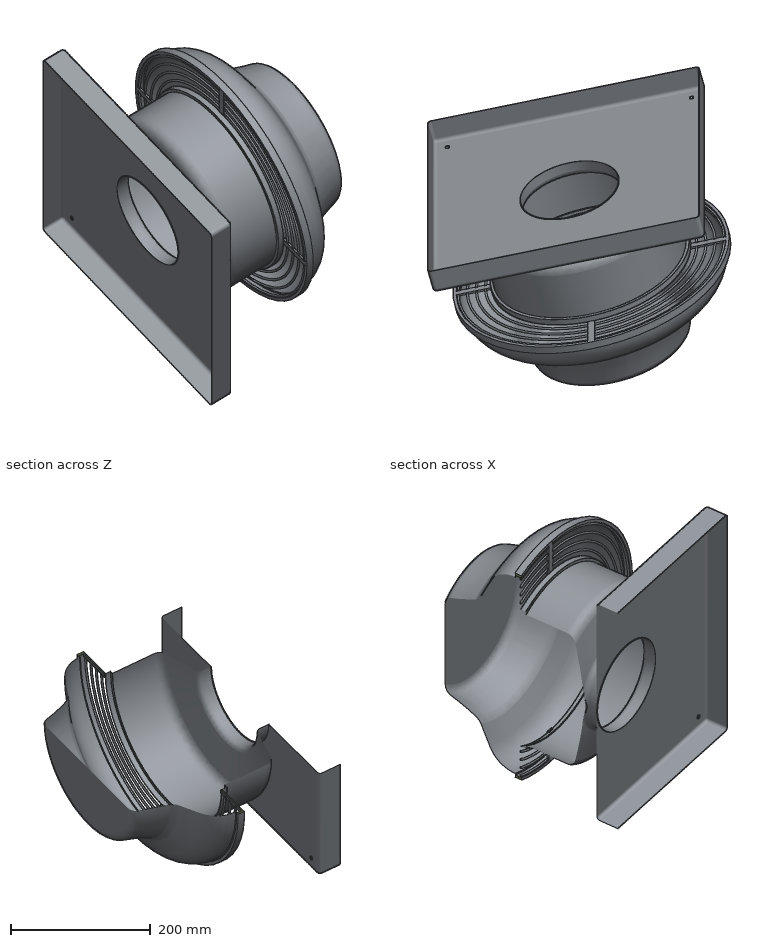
import cadquery as cq
import math


TRAY_SIDE = 400.5
TRAY_DEPTH = 37.0
SHEET = 1.0
BEND_RADIUS = 6.0
SCREW_OFFSET = 180.0
SCREW_DIAMETER = 6.0

NECK_RADIUS = 73.3
DRUM_RADIUS = 142.5
CONE_START = 58.0
CONE_END = 75.5
DRUM_END = 160.0
NECK_BLEND = 8.0
DRUM_BLEND = 15.5

COLLAR_RADIUS = 147.5
GRILLE_START = 168.5
FLANGE_RADIUS = 203.5
FLANGE_BORE = 198.5
FLANGE_END = 180.0
WIRE_DIAMETER = 3.0
WIRE_COUNT = 4
WIRE_FIRST_RADIUS = 156.0
WIRE_PITCH = 13.5
SPOKE_COUNT = 4
SPOKE_WIDTH = 10.0
SPOKE_THICKNESS = WIRE_DIAMETER

HOOD_RADIUS = 197.0
HOOD_END = 303.0
SHOULDER_ARC_RADIUS = 50.0
SHOULDER_SWEEP = 63.0
WAIST_RADIUS = 134.5
CROWN_MID_POINT = (123.5, 270.0)
CROWN_RADIUS = 114.8
WAIST_BLEND = 17.0
CROWN_BLEND = 14.0


def turned(profile):
    """Revolve a closed half profile, drawn as (radius, Y), about the Y axis."""
    return profile.close().revolve(360, (0, 0), (0, 1))


def ring(outer_radius, inner_radius, start, end):
    """Plain ring around the Y axis."""
    return turned(
        cq.Workplane("XY")
        .moveTo(inner_radius, start)
        .lineTo(outer_radius, start)
        .lineTo(outer_radius, end)
        .lineTo(inner_radius, end)
    )


def circle_at(solid, position):
    """The circular edge centred on the axis at Y = position, for blending."""
    return solid.edges(cq.selectors.NearestToPointSelector((0, position, 0)))


def make_tray():
    """Square sheet tray, open to -Y, with rounded bends, neck hole and screw holes."""
    tray = (
        cq.Workplane("XZ")
        .rect(TRAY_SIDE, TRAY_SIDE)
        .extrude(-TRAY_DEPTH)
        .edges("|Y or >Y")
        .fillet(BEND_RADIUS)
        .faces("<Y")
        .shell(-SHEET)
    )
    neck_hole = ring(NECK_RADIUS - SHEET, 0, 0, TRAY_DEPTH)
    screw_holes = (
        cq.Workplane("XZ")
        .rect(2 * SCREW_OFFSET, 2 * SCREW_OFFSET, forConstruction=True)
        .vertices()
        .circle(SCREW_DIAMETER / 2)
        .extrude(-TRAY_DEPTH)
    )
    return tray.cut(neck_hole).cut(screw_holes)


def make_body():
    """Thin-walled neck flaring into the drum, open at both ends."""
    neck_start = TRAY_DEPTH - SHEET
    body = turned(
        cq.Workplane("XY")
        .moveTo(0, neck_start)
        .lineTo(NECK_RADIUS, neck_start)
        .lineTo(NECK_RADIUS, CONE_START)
        .lineTo(DRUM_RADIUS, CONE_END)
        .lineTo(DRUM_RADIUS, DRUM_END)
        .lineTo(0, DRUM_END)
    )
    body = circle_at(body, CONE_START).fillet(NECK_BLEND)
    body = circle_at(body, CONE_END).fillet(DRUM_BLEND)
    return body.faces("<Y or >Y").shell(-SHEET)


def make_hood():
    """Thin-walled domed hood, open towards the grille."""
    sweep = math.radians(SHOULDER_SWEEP)

    def shoulder_point(angle):
        return (
            HOOD_RADIUS - SHOULDER_ARC_RADIUS * (1 - math.cos(angle)),
            FLANGE_END + SHOULDER_ARC_RADIUS * math.sin(angle),
        )

    shoulder_end = shoulder_point(sweep)
    waist = shoulder_end[1] + (shoulder_end[0] - WAIST_RADIUS) / math.tan(sweep)
    hood = turned(
        cq.Workplane("XY")
        .moveTo(0, FLANGE_END)
        .lineTo(HOOD_RADIUS, FLANGE_END)
        .threePointArc(shoulder_point(sweep / 2), shoulder_end)
        .lineTo(WAIST_RADIUS, waist)
        .threePointArc(CROWN_MID_POINT, (CROWN_RADIUS, HOOD_END))
        .lineTo(0, HOOD_END)
    )
    hood = circle_at(hood, waist).fillet(WAIST_BLEND)
    hood = circle_at(hood, HOOD_END).fillet(CROWN_BLEND)
    return hood.faces("<Y").shell(-SHEET)


def make_grille():
    """Collar, outer flange, round wires and flat spokes joining drum and hood."""
    collar_bore = COLLAR_RADIUS - SHEET
    collar_base = ring(COLLAR_RADIUS, DRUM_RADIUS - SHEET, DRUM_END, DRUM_END + SHEET)
    collar_wall = ring(COLLAR_RADIUS, collar_bore, DRUM_END, GRILLE_START + SHEET)
    collar = collar_base.union(collar_wall)
    rim = ring(FLANGE_RADIUS, FLANGE_BORE, GRILLE_START, FLANGE_END)
    seat = ring(FLANGE_RADIUS, HOOD_RADIUS - SHEET, FLANGE_END - SHEET, FLANGE_END)
    grille = collar.union(rim).union(seat)
    wire_position = GRILLE_START + WIRE_DIAMETER / 2
    for index in range(WIRE_COUNT):
        radius = WIRE_FIRST_RADIUS + index * WIRE_PITCH
        wire = (
            cq.Workplane("XY")
            .center(radius, wire_position)
            .circle(WIRE_DIAMETER / 2)
            .revolve(360, (-radius, 0), (-radius, 1))
        )
        grille = grille.union(wire)
    spoke_length = FLANGE_BORE - collar_bore
    spoke = cq.Workplane("XY").box(spoke_length, SPOKE_THICKNESS, SPOKE_WIDTH).translate(
        ((FLANGE_BORE + collar_bore) / 2, wire_position, 0)
    )
    for index in range(SPOKE_COUNT):
        grille = grille.union(spoke.rotate((0, 0, 0), (0, 1, 0), index * 360 / SPOKE_COUNT))
    return grille


result = make_tray().union(make_body()).union(make_grille()).union(make_hood())